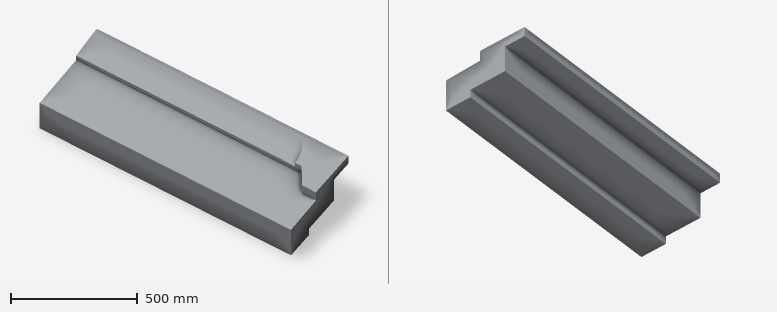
import cadquery as cq
import math

length = 1192.0
width = 407.0
height = 210.0

overhang_depth = 101.0
ledge_thickness = 46.0
ledge_width = 148.0
foot_setback = 280.0
foot_height = 38.0
front_drop = 57.0

block_width = 230.0
block_front_length = 65.0
block_back_length = 123.0

recess_setback = 25.0
recess_depth = 20.0
recess_back_gap = 206.0
recess_front_gap = 155.0

ledge_front = width - ledge_width
block_front = width - block_width
overhang_front = width - overhang_depth
foot_back = width - foot_setback
ledge_underside = height - ledge_thickness
deck_front_top = height - front_drop


def make_body():
    """Stepped section along the whole length, with a deck sloping down to the front."""
    profile = [
        (0, 0),
        (foot_back, 0),
        (foot_back, foot_height),
        (overhang_front, foot_height),
        (overhang_front, ledge_underside),
        (width, ledge_underside),
        (width, height),
        (ledge_front, height),
        (ledge_front, ledge_underside),
        (0, deck_front_top),
    ]
    return cq.Workplane("YZ").polyline(profile).close().extrude(length)


def make_block():
    """Block with one slanted side, reaching from the ledge down into the deck."""
    outline = [
        (length - block_back_length, ledge_front),
        (length - block_front_length, block_front),
        (length, block_front),
        (length, overhang_front),
        (length - block_back_length, overhang_front),
    ]
    return (
        cq.Workplane("XY", origin=(0, 0, deck_front_top))
        .polyline(outline)
        .close()
        .extrude(front_drop)
    )


def make_recess():
    """Wedge under a sloping floor, trimmed to an outline with an arc end."""
    recess_back = width - recess_setback
    back_end = length - recess_back_gap
    front_end = length - recess_front_gap
    wedge = (
        cq.Workplane("YZ")
        .polyline([
            (recess_back, height),
            (ledge_front, height),
            (ledge_front, height - recess_depth),
        ])
        .close()
        .extrude(length)
    )

    run = front_end - back_end
    rise = recess_back - ledge_front
    radius = (run**2 + rise**2) / (2 * run)
    half_angle = math.asin(rise / radius) / 2
    arc_middle = (
        front_end - radius * (1 - math.cos(half_angle)),
        ledge_front + radius * math.sin(half_angle),
    )
    outline = (
        cq.Workplane("XY", origin=(0, 0, height - recess_depth))
        .moveTo(0, ledge_front)
        .lineTo(front_end, ledge_front)
        .threePointArc(arc_middle, (back_end, recess_back))
        .lineTo(0, recess_back)
        .close()
        .extrude(recess_depth)
    )
    return wedge.intersect(outline)


result = make_body().union(make_block()).cut(make_recess())